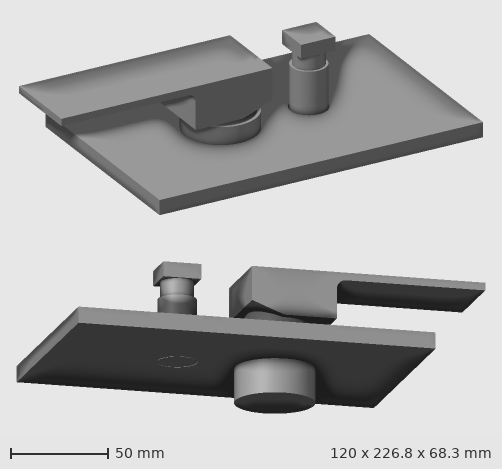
import cadquery as cq

overall_length = 226.8
overall_height = 68.3

plate_width = 120.0
plate_front_y = -69.2
plate_length = 190.0
plate_bottom_z = 18.1
plate_thickness = 8.6
plate_top_z = plate_bottom_z + plate_thickness
plate_center_y = plate_front_y + plate_length / 2

sleeve_diameter = 41.7
sleeve_height = 37.0
ball_radius = 19.0
ball_depth = 2.7
ball_center_z = sleeve_height - ball_depth

lever_width = 44.7
lever_length = 124.0
lever_front_y = plate_front_y + plate_length - overall_length
lever_back_y = lever_front_y + lever_length
lever_top_z = 65.8
blade_thickness = 4.0
block_depth = 45.1
block_height = 24.7
block_relief_depth = 17.2
block_relief_height = 6.5
blade_fillet = 4.8
block_front_y = lever_back_y - block_depth
block_bottom_z = lever_top_z - block_height
blade_bottom_z = lever_top_z - blade_thickness

diverter_y = 52.0
guide_diameter = 20.2
guide_hole_diameter = 21.3
guide_top_z = 51.2
stem_diameter = 17.5
knob_side = 20.2
knob_thickness = 8.0
knob_bottom_z = overall_height - knob_thickness


def cylinder(diameter, bottom_z, top_z, y=0):
    """Upright cylinder centered on X = 0."""
    return (
        cq.Workplane("XY", origin=(0, y, bottom_z))
        .circle(diameter / 2)
        .extrude(top_z - bottom_z)
    )


def make_ball():
    return cq.Workplane("XY", origin=(0, 0, ball_center_z)).sphere(ball_radius)


def make_plate():
    """Flat plate, pierced for the sleeve and the guide."""
    plate = (
        cq.Workplane("XY", origin=(0, plate_center_y, plate_bottom_z))
        .rect(plate_width, plate_length)
        .extrude(plate_thickness)
    )
    sleeve_hole = cylinder(sleeve_diameter, plate_bottom_z, plate_top_z)
    guide_hole = cylinder(guide_hole_diameter, plate_bottom_z, plate_top_z, diverter_y)
    return plate.cut(sleeve_hole).cut(guide_hole)


def make_sleeve():
    """Cylinder with a spherical seat for the lever ball."""
    return cylinder(sleeve_diameter, 0, sleeve_height).cut(make_ball())


def make_lever():
    """Flat blade on a block with a sloped rear underside, carried by a ball."""
    lever = (
        cq.Workplane("YZ")
        .moveTo(lever_front_y, lever_top_z)
        .lineTo(lever_back_y, lever_top_z)
        .lineTo(lever_back_y, block_bottom_z + block_relief_height)
        .lineTo(lever_back_y - block_relief_depth, block_bottom_z)
        .lineTo(block_front_y, block_bottom_z)
        .lineTo(block_front_y, blade_bottom_z - blade_fillet)
        .radiusArc((block_front_y - blade_fillet, blade_bottom_z), -blade_fillet)
        .lineTo(lever_front_y, blade_bottom_z)
        .close()
        .extrude(lever_width / 2, both=True)
    )
    return lever.union(make_ball())


def make_guide():
    return cylinder(guide_diameter, plate_bottom_z, guide_top_z, diverter_y)


def make_knob():
    """Square knob on a round stem that stands on the guide."""
    head = (
        cq.Workplane("XY", origin=(0, diverter_y, knob_bottom_z))
        .rect(knob_side, knob_side)
        .extrude(knob_thickness)
    )
    return head.union(cylinder(stem_diameter, guide_top_z, knob_bottom_z, diverter_y))


plate = make_plate()
sleeve = make_sleeve()
lever = make_lever()
guide = make_guide()
knob = make_knob()

result = cq.Compound.makeCompound([plate.val(), sleeve.val(), lever.val(), guide.val(), knob.val()])